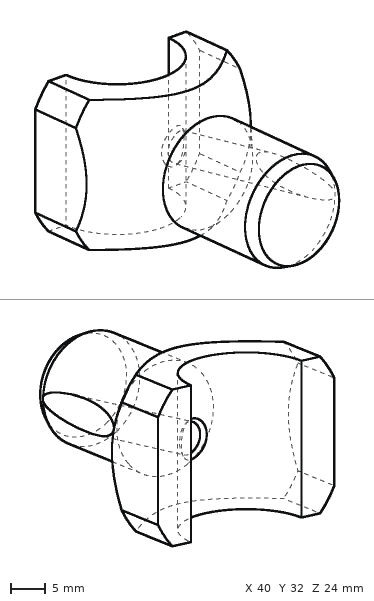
import cadquery as cq
import math

length = 40
fork_width = 32
fork_height = 24

head_radius = 18
head_length = 8.95
shank_radius = 17.5 / 2
shank_start = 19.9
end_chamfer_length = 2
end_chamfer_depth = 0.9

seat_radius = 10

hole_diameter = 5.0
hole_exit_x = 29.4
hole_edge_chamfer = 0.6


def turned_body():
    """Round head, cone and shank with a chamfered end."""
    profile = (
        cq.Workplane("XY")
        .lineTo(0, head_radius)
        .lineTo(head_length, head_radius)
        .lineTo(shank_start, shank_radius)
        .lineTo(length - end_chamfer_length, shank_radius)
        .lineTo(length, shank_radius - end_chamfer_depth)
        .lineTo(length, 0)
        .close()
    )
    return profile.revolve(360, (0, 0, 0), (1, 0, 0))


def fork_flats():
    """Block that trims the round head to four flats."""
    return cq.Workplane("XY").box(length, fork_width, fork_height, centered=(False, True, True))


def seat():
    return cq.Workplane("XY").circle(seat_radius).extrude(fork_height / 2, both=True)


def oblique_hole():
    """Radial hole starting on the seat axis."""
    direction = cq.Vector(hole_exit_x, shank_radius, 0)
    plane = cq.Plane(origin=(0, 0, 0), xDir=(0, 0, 1), normal=direction)
    return cq.Workplane(plane).circle(hole_diameter / 2).extrude(length)


body = turned_body().intersect(fork_flats()).cut(seat()).cut(oblique_hole())

hole_angle = math.atan2(shank_radius, hole_exit_x)
mouth_x = seat_radius * math.cos(hole_angle)
mouth_y = seat_radius * math.sin(hole_angle)
mouth_box = cq.selectors.BoxSelector(
    (mouth_x - hole_diameter, mouth_y - hole_diameter, -hole_diameter),
    (mouth_x + hole_diameter, mouth_y + hole_diameter, hole_diameter),
    boundingbox=True,
)
result = body.edges(mouth_box).chamfer(hole_edge_chamfer)